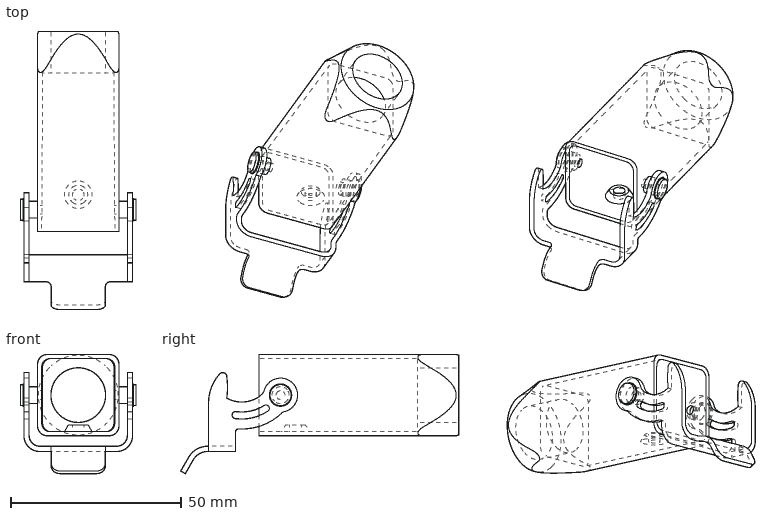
import cadquery as cq
import math

BODY_SIZE = 24.0
BODY_LENGTH = 58.8
BODY_CORNER_R = 3.0
WALL = 1.25
CAVITY_CORNER_R = 2.5
CAVITY_SIDE_TAPER = 0.3
BACK_WALL = 12.2
CABLE_HOLE_D = 16.0
NOSE_END_R = 11.74
NOSE_SLOPE = 0.33

BOSS_Y = 10.8
BOSS_BASE_D = 8.1
BOSS_TOP_D = 6.2
BOSS_HEIGHT = 2.0
BOSS_HOLE_D = 3.4
BOSS_LIP = 0.3

PIN_Y = 6.4
PIN_D = 5.0
PIN_BORE_D = 2.6
HEAD_D = 6.2
FLANGE_D = 6.6
FLANGE_THICKNESS = 0.2
HEAD_END_X = 17.0

SHEET = 1.6
LEVER_OUTER_X = 16.0
LEVER_INNER_X = LEVER_OUTER_X - SHEET
LEVER_BOTTOM_Z = -16.6
LEVER_BEND_R = 3.1
STRAP_WIDTH = 8.0
STRAP_FRONT_Y = -14.8
STRAP_BACK_Y = STRAP_FRONT_Y + STRAP_WIDTH

EYE_R = 5.0
ARM_CENTRE_Y = -5.0
ARM_CENTRE_Z = 7.0
ARM_INNER_R = 9.0
ARM_OUTER_R = 17.0
SLOT_R = 13.0
SLOT_WIDTH = 2.0
SLOT_START_Y = 2.1
SLOT_END_Y = -6.8
NECK_FILLET_R = 3.0
ARM_ROOT_FILLET_R = 0.8
HOOK_INNER_Y = -9.35
HOOK_BULGE = 0.2
HOOK_TIP_R = 1.25
HOOK_TOP_Z = 6.65
HOOK_BACK_MID = (-13.4, 3.5)
HOOK_BACK_END_Z = -1.9
TIP_EXIT_ANGLE = math.radians(35)

TAB_WIDTH = 16.0
TAB_BEND_R = 4.8
TAB_FLAT = 0.25
TAB_ANGLE = math.radians(60)
TAB_STRAIGHT = 4.75
TAB_CORNER_R = 2.7
TAB_ROOT_R = 1.4


def cavity_section(width, height, radius, y):
    """Rounded rectangular sketch in the XZ plane at the given y."""
    return (
        cq.Sketch()
        .rect(width, height)
        .vertices()
        .fillet(radius)
        .moved(cq.Location(cq.Plane((0, y, 0), (1, 0, 0), (0, 1, 0))))
    )


def cylinder_y(diameter, y_start, y_end):
    return cq.Workplane("XZ", origin=(0, y_start, 0)).circle(diameter / 2).extrude(y_start - y_end)


def nose_cone():
    """Cone about the Y axis that trims the corners of the closed end."""
    open_r = NOSE_END_R + NOSE_SLOPE * BODY_LENGTH
    return (
        cq.Workplane("YZ")
        .polyline([(0, 0), (0, open_r), (BODY_LENGTH, NOSE_END_R), (BODY_LENGTH, 0)])
        .close()
        .revolve(360, (0, 0, 0), (1, 0, 0))
    )


def cavity():
    size = BODY_SIZE - 2 * WALL
    depth = BODY_LENGTH - BACK_WALL
    return (
        cq.Workplane("XY")
        .placeSketch(
            cavity_section(size, size, CAVITY_CORNER_R, 0),
            cavity_section(size - 2 * CAVITY_SIDE_TAPER, size, CAVITY_CORNER_R, depth),
        )
        .loft()
    )


def housing():
    body = (
        cq.Workplane("XY")
        .box(BODY_SIZE, BODY_LENGTH, BODY_SIZE, centered=(True, False, True))
        .edges("|Y")
        .fillet(BODY_CORNER_R)
    )
    body = body.intersect(nose_cone()).cut(cavity())
    return body.cut(cylinder_y(CABLE_HOLE_D, 0, BODY_LENGTH))


def floor_boss():
    floor_z = WALL - BODY_SIZE / 2
    top_z = floor_z + BOSS_HEIGHT
    sunk_z = floor_z - WALL / 2
    top_r = BOSS_TOP_D / 2
    profile = [
        (-BOSS_HOLE_D / 2, floor_z),
        (-BOSS_HOLE_D / 2, top_z),
        (BOSS_LIP - top_r, top_z),
        (-top_r, top_z - BOSS_LIP),
        (-BOSS_BASE_D / 2, floor_z),
        (-BOSS_BASE_D / 2, sunk_z),
        (-BOSS_HOLE_D / 2, sunk_z),
    ]
    return (
        cq.Workplane("YZ")
        .polyline(profile)
        .close()
        .revolve(360, (0, 0, 0), (0, 1, 0))
        .translate((0, BOSS_Y, 0))
    )


def disc_x(diameter, x_start, x_end):
    """Cylinder on the hinge axis."""
    return cq.Workplane("YZ", origin=(x_start, PIN_Y, 0)).circle(diameter / 2).extrude(x_end - x_start)


def hinge_pin(side):
    wall_x = BODY_SIZE / 2 - WALL / 2
    pin = disc_x(PIN_D, side * wall_x, side * LEVER_OUTER_X)
    pin = pin.union(disc_x(FLANGE_D, side * LEVER_OUTER_X, side * (LEVER_OUTER_X + FLANGE_THICKNESS)))
    return pin.union(disc_x(HEAD_D, side * LEVER_OUTER_X, side * HEAD_END_X))


def arm_point(radius, y):
    """Point (y, z) on the lower half of an arm circle."""
    return (y, ARM_CENTRE_Z - math.sqrt(radius**2 - (y - ARM_CENTRE_Y) ** 2))


def extrude_across(outline):
    """Extrude a closed YZ outline over the full lever width."""
    return outline.extrude(LEVER_OUTER_X, both=True)


def cheek_slot():
    half = SLOT_WIDTH / 2

    def polar(radius, angle):
        return (ARM_CENTRE_Y + radius * math.cos(angle), ARM_CENTRE_Z + radius * math.sin(angle))

    start = -math.acos((SLOT_START_Y - ARM_CENTRE_Y) / SLOT_R)
    end = -math.acos((SLOT_END_Y - ARM_CENTRE_Y) / SLOT_R)
    middle = (start + end) / 2
    cap = half / SLOT_R
    inner = SLOT_R - half
    outer = SLOT_R + half
    outline = (
        cq.Workplane("YZ")
        .moveTo(*polar(inner, start))
        .threePointArc(polar(inner, middle), polar(inner, end))
        .threePointArc(polar(SLOT_R, end - cap), polar(outer, end))
        .threePointArc(polar(outer, middle), polar(outer, start))
        .threePointArc(polar(SLOT_R, start + cap), polar(inner, start))
        .close()
    )
    return extrude_across(outline)


def cheek_profile():
    """Side shape of the lever: eye, curved arm, hook and leg."""
    eye_to_arm = (PIN_Y - ARM_CENTRE_Y, -ARM_CENTRE_Z)
    spread = math.hypot(*eye_to_arm)
    axis = (-eye_to_arm[0] / spread, ARM_CENTRE_Z / spread)

    def eye_crossing(radius):
        """Point (y, z) where an arm circle meets the eye circle."""
        along = (spread**2 + EYE_R**2 - radius**2) / (2 * spread)
        across = math.sqrt(EYE_R**2 - along**2)
        return (PIN_Y + along * axis[0] - across * axis[1], along * axis[1] + across * axis[0])

    neck_top = eye_crossing(ARM_INNER_R)
    neck_bottom = eye_crossing(ARM_OUTER_R)
    tip_y = HOOK_INNER_Y - HOOK_TIP_R
    tip_z = HOOK_TOP_Z - HOOK_TIP_R
    tip_exit = (
        tip_y - HOOK_TIP_R * math.cos(TIP_EXIT_ANGLE),
        tip_z + HOOK_TIP_R * math.sin(TIP_EXIT_ANGLE),
    )
    hook_root = arm_point(ARM_INNER_R, HOOK_INNER_Y)
    hook_mid = (HOOK_INNER_Y + HOOK_BULGE, (hook_root[1] + tip_z) / 2)
    arm_mid_y = (neck_bottom[0] + STRAP_BACK_Y) / 2
    outline = (
        cq.Workplane("YZ")
        .moveTo(*neck_top)
        .threePointArc(arm_point(ARM_INNER_R, ARM_CENTRE_Y), hook_root)
        .threePointArc(hook_mid, (HOOK_INNER_Y, tip_z))
        .threePointArc((tip_y, HOOK_TOP_Z), tip_exit)
        .threePointArc(HOOK_BACK_MID, (STRAP_FRONT_Y, HOOK_BACK_END_Z))
        .lineTo(STRAP_FRONT_Y, LEVER_BOTTOM_Z)
        .lineTo(STRAP_BACK_Y, LEVER_BOTTOM_Z)
        .lineTo(*arm_point(ARM_OUTER_R, STRAP_BACK_Y))
        .threePointArc(arm_point(ARM_OUTER_R, arm_mid_y), neck_bottom)
        .threePointArc((PIN_Y + EYE_R, 0), neck_top)
        .close()
    )
    profile = extrude_across(outline)
    profile = profile.edges(cq.selectors.NearestToPointSelector((0, *neck_top))).fillet(NECK_FILLET_R)
    arm_root = (0, *arm_point(ARM_OUTER_R, STRAP_BACK_Y))
    profile = profile.edges(cq.selectors.NearestToPointSelector(arm_root)).fillet(ARM_ROOT_FILLET_R)
    return profile.cut(cheek_slot())


def lever_channel():
    """U-shaped bent sheet that the cheek outline is cut from."""
    length = PIN_Y + EYE_R - STRAP_FRONT_Y
    top_z = HOOK_TOP_Z + SHEET

    def u_block(half_width, bottom_z, radius):
        return (
            cq.Workplane("XY", origin=(0, STRAP_FRONT_Y, bottom_z))
            .box(2 * half_width, length, top_z - bottom_z, centered=(True, False, False))
            .edges("|Y and <Z")
            .fillet(radius)
        )

    outer = u_block(LEVER_OUTER_X, LEVER_BOTTOM_Z, LEVER_BEND_R + SHEET)
    return outer.cut(u_block(LEVER_INNER_X, LEVER_BOTTOM_Z + SHEET, LEVER_BEND_R))


def thumb_tab():
    """Tab that leaves the strap level, curves down and ends straight."""
    half = TAB_WIDTH / 2
    tab, tip_mid = bent_tab(half)
    for side in (-1, 1):
        corner = cq.selectors.NearestToPointSelector((side * half, *tip_mid))
        tab = tab.edges(corner).fillet(TAB_CORNER_R)
    wide_tab, _ = bent_tab(half + TAB_ROOT_R)
    for side in (-1, 1):
        tab = tab.union(wide_tab.intersect(root_web(side)))
    return tab


def bent_tab(half_width):
    """Square-cornered tab, and the (y, z) middle of its tip edge."""
    outer_r = TAB_BEND_R + SHEET
    centre_y = STRAP_FRONT_Y - TAB_FLAT
    centre_z = LEVER_BOTTOM_Z - TAB_BEND_R
    run = (-math.cos(TAB_ANGLE), -math.sin(TAB_ANGLE))

    def bend(radius, angle):
        return (centre_y - radius * math.sin(angle), centre_z + radius * math.cos(angle))

    def straight_end(radius):
        start = bend(radius, TAB_ANGLE)
        return (start[0] + TAB_STRAIGHT * run[0], start[1] + TAB_STRAIGHT * run[1])

    section = (
        cq.Workplane("YZ")
        .moveTo(STRAP_FRONT_Y, LEVER_BOTTOM_Z + SHEET)
        .lineTo(*bend(outer_r, 0))
        .threePointArc(bend(outer_r, TAB_ANGLE / 2), bend(outer_r, TAB_ANGLE))
        .lineTo(*straight_end(outer_r))
        .lineTo(*straight_end(TAB_BEND_R))
        .lineTo(*bend(TAB_BEND_R, TAB_ANGLE))
        .threePointArc(bend(TAB_BEND_R, TAB_ANGLE / 2), bend(TAB_BEND_R, 0))
        .lineTo(STRAP_FRONT_Y, LEVER_BOTTOM_Z)
        .close()
    )
    tip_mid = [(a + b) / 2 for a, b in zip(straight_end(outer_r), straight_end(TAB_BEND_R))]
    return section.extrude(half_width, both=True), tip_mid


def root_web(side):
    """Vertical prism with one hollow rounded face, blending tab into strap."""
    half = side * TAB_WIDTH / 2
    far = half + side * TAB_ROOT_R
    front = STRAP_FRONT_Y - TAB_ROOT_R
    diagonal = TAB_ROOT_R * math.sqrt(0.5)
    return (
        cq.Workplane("XY", origin=(0, 0, 2 * LEVER_BOTTOM_Z))
        .moveTo(half, STRAP_FRONT_Y)
        .lineTo(far, STRAP_FRONT_Y)
        .threePointArc((far - side * diagonal, front + diagonal), (half, front))
        .close()
        .extrude(-2 * LEVER_BOTTOM_Z)
    )


def lever():
    return lever_channel().intersect(cheek_profile()).union(thumb_tab())


def pin_bore(side):
    """Blind bore through the cavity wall, ending in the pin."""
    inside_x = BODY_SIZE / 2 - 2 * WALL
    return disc_x(PIN_BORE_D, side * inside_x, side * BODY_SIZE / 2)


result = housing().union(floor_boss()).union(lever())
for pin_side in (-1, 1):
    result = result.union(hinge_pin(pin_side)).cut(pin_bore(pin_side))